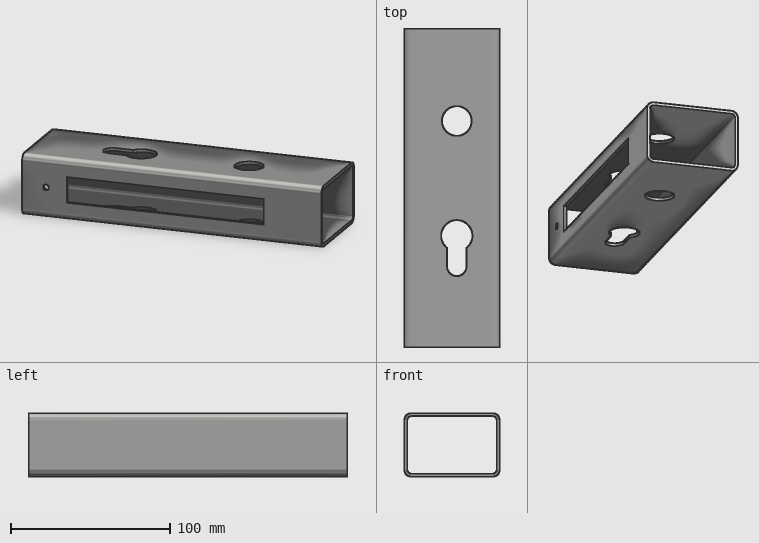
import cadquery as cq

TUBE_WIDTH = 60.0
TUBE_LENGTH = 200.0
TUBE_HEIGHT = 40.0
WALL = 2.0
OUTER_RADIUS = 4.5
INNER_RADIUS = OUTER_RADIUS - WALL

LOCK_AXIS_X = 3.0
HANDLE_Y = 42.0
HANDLE_DIAMETER = 18.5
LOCK_SPACING = 72.0
CYLINDER_Y = HANDLE_Y - LOCK_SPACING
CYLINDER_DIAMETER = 19.5
KEYWAY_WIDTH = 12.0
KEYWAY_END_Y = -55.25

CASE_TOP_Y = 61.5
CASE_BOTTOM_Y = -70.0
CASE_OPENING_HEIGHT = 17.0
SCREW_Y = -84.0
SCREW_DIAMETER = 3.8


def rounded_bar(width, height, radius):
    bar = cq.Workplane("XY").box(width, TUBE_LENGTH, height)
    return bar.edges("|Y").fillet(radius)


def make_tube():
    outside = rounded_bar(TUBE_WIDTH, TUBE_HEIGHT, OUTER_RADIUS)
    inside = rounded_bar(TUBE_WIDTH - 2 * WALL, TUBE_HEIGHT - 2 * WALL, INNER_RADIUS)
    return outside.cut(inside)


def round_cutter(y, diameter):
    disc = cq.Workplane("XY").center(LOCK_AXIS_X, y).circle(diameter / 2)
    return disc.extrude(TUBE_HEIGHT, both=True)


def keyhole_cutter():
    """Round cylinder opening with a round-ended keyway towards -Y."""
    slot_length = CYLINDER_Y - KEYWAY_END_Y + KEYWAY_WIDTH / 2
    slot_centre_y = KEYWAY_END_Y + slot_length / 2
    keyway = cq.Workplane("XY").center(LOCK_AXIS_X, slot_centre_y)
    keyway = keyway.slot2D(slot_length, KEYWAY_WIDTH, angle=90)
    keyway = keyway.extrude(TUBE_HEIGHT, both=True)
    return round_cutter(CYLINDER_Y, CYLINDER_DIAMETER).union(keyway)


def case_cutter():
    length = CASE_TOP_Y - CASE_BOTTOM_Y
    centre_y = (CASE_TOP_Y + CASE_BOTTOM_Y) / 2
    opening = cq.Workplane("YZ").center(centre_y, 0).rect(length, CASE_OPENING_HEIGHT)
    return opening.extrude(TUBE_WIDTH)


def screw_cutter():
    hole = cq.Workplane("YZ").center(SCREW_Y, 0).circle(SCREW_DIAMETER / 2)
    return hole.extrude(TUBE_WIDTH)


result = make_tube()
result = result.cut(round_cutter(HANDLE_Y, HANDLE_DIAMETER))
result = result.cut(keyhole_cutter())
result = result.cut(case_cutter())
result = result.cut(screw_cutter())